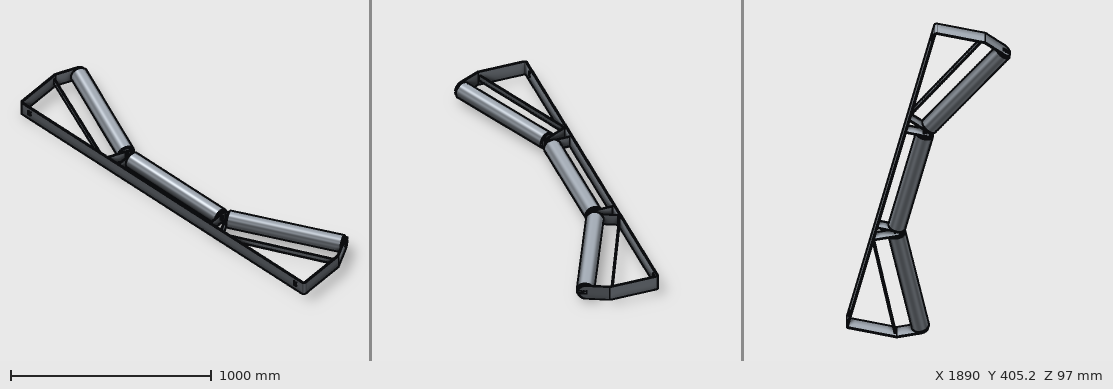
import cadquery as cq
import math

LENGTH = 1890.0
PLATE = 7.0
WIDTH = 80.0
CORNER_RADIUS = 13.0
TIP_DROP = 4.0

TROUGH_ANGLE = 25.0
ROLLER_RADIUS = 44.5
ROLLER_LENGTH = 601.0
ROLLER_CHAMFER = 5.0
SHAFT_SIDE = 16.0
CENTRE_Y = 104.0
CENTRE_Z = -8.0
WING_X = 610.0
WING_Y = 240.0
WALL_GAP = 4.0
BRACKET_GAP = 2.0

THIN_PLATE = 5.0

BRACKET_WIDTH = 60.0
BRACKET_TOP = 132.0

FIXING_X = 885.0
FIXING_WIDTH = 17.0
FIXING_HEIGHT = 25.0

BRACE_WIDTH = 34.0
BRACE_BASE_X = 395.0
BRACE_WALL_Y = 251.0

TILT = math.radians(TROUGH_ANGLE)
HALF_LENGTH = LENGTH / 2
HALF_ROLLER = ROLLER_LENGTH / 2
WALL_FACE = HALF_ROLLER + WALL_GAP
BRACKET_FACE = HALF_ROLLER + BRACKET_GAP


def wing_point(along, across):
    """Point given along and across the axis of the wing roller on the -X side."""
    x = -WING_X + along * math.cos(TILT) + across * math.sin(TILT)
    y = WING_Y - along * math.sin(TILT) + across * math.cos(TILT)
    return x, y


def place_wing(shape):
    """Move a shape made around a roller at the origin to the wing on the -X side."""
    return shape.rotate((0, 0, 0), (0, 0, 1), -TROUGH_ANGLE).translate((-WING_X, WING_Y, 0))


def both_sides(shape):
    return [shape, shape.mirror("YZ")]


def extrude_across(points, width):
    """Prism over an outline in the XY plane, centred on Z = 0."""
    return cq.Workplane("XY", origin=(0, 0, -width / 2)).polyline(points).close().extrude(width)


def make_roller(reach_left, reach_right):
    """Roller along X around the origin, with the reach of its shaft on each side."""
    shell = cq.Workplane("YZ", origin=(-HALF_ROLLER, 0, 0)).circle(ROLLER_RADIUS).extrude(ROLLER_LENGTH)
    shell = shell.faces("<X or >X").edges().chamfer(ROLLER_CHAMFER)
    shaft = cq.Workplane("XY").box(reach_left + reach_right, SHAFT_SIDE, SHAFT_SIDE)
    return shell.union(shaft.translate(((reach_right - reach_left) / 2, 0, 0)))


def make_wall_trim():
    """What is cut from the upper end of the -X wall: the corners of its tip and the shaft slot."""
    half = WIDTH / 2
    depth = 4 * PLATE
    corners = (
        cq.Workplane("YZ")
        .moveTo(0, half)
        .threePointArc((half, 0), (0, -half))
        .lineTo(WIDTH, -half)
        .lineTo(WIDTH, half)
        .close()
        .extrude(depth / 2, both=True)
        .translate((0, -TIP_DROP, 0))
    )
    slot = cq.Workplane("XY").box(depth, WIDTH, SHAFT_SIDE)
    slot = slot.translate((0, half - SHAFT_SIDE / 2, 0))
    return place_wing(corners.union(slot).translate((-WALL_FACE - PLATE / 2, 0, 0)))


def wall_outline(offset):
    """Corner, bend and tip of the -X wall, the given distance in from its outer faces."""
    x = -HALF_LENGTH + offset
    along = -WALL_FACE - PLATE + offset
    axis_x, axis_y = wing_point(along, 0)
    bend_y = axis_y - (axis_x - x) / math.tan(TILT)
    return [(x, offset), (x, bend_y), wing_point(along, WIDTH / 2 - TIP_DROP)]


def make_frame():
    """Base and both side walls, bent from one strip."""
    outer = wall_outline(0)
    inner = wall_outline(PLATE)
    half_outline = [(0, 0), *outer, *reversed(inner), (0, PLATE)]
    half = extrude_across(half_outline, WIDTH)
    half = half.edges(cq.selectors.NearestToPointSelector((*outer[0], 0))).fillet(CORNER_RADIUS)
    half = half.edges(cq.selectors.NearestToPointSelector((*inner[0], 0))).fillet(CORNER_RADIUS - PLATE)
    half = half.cut(make_wall_trim())
    fixing = cq.Workplane("XY").box(FIXING_WIDTH, 4 * PLATE, FIXING_HEIGHT)
    half = half.cut(fixing.translate((-FIXING_X, 0, 0)))
    return half.union(half.mirror("YZ"))


def make_bracket():
    """Bracket on the -X side; the shaft holes are cut later with the rollers."""
    upright = -BRACKET_FACE
    slope = math.tan(TILT)
    slant = THIN_PLATE / math.cos(TILT)
    axis_x, axis_y = wing_point(BRACKET_FACE, 0)

    def leaning_x(y):
        return axis_x + (y - axis_y) * slope

    inner_top = BRACKET_TOP - THIN_PLATE
    outline = [
        (upright, PLATE),
        (upright, BRACKET_TOP),
        (leaning_x(BRACKET_TOP), BRACKET_TOP),
        (leaning_x(PLATE), PLATE),
        (leaning_x(PLATE) + slant, PLATE),
        (leaning_x(inner_top) + slant, inner_top),
        (upright - THIN_PLATE, inner_top),
        (upright - THIN_PLATE, PLATE),
    ]
    return extrude_across(outline, BRACKET_WIDTH).translate((0, 0, CENTRE_Z))


def make_brace():
    """Brace on the -X side, cut flush against the wall and the base."""
    wall_x = -HALF_LENGTH + PLATE
    slope = (BRACE_WALL_Y - PLATE) / (-BRACE_BASE_X - wall_x)
    drop = THIN_PLATE * math.hypot(1, slope)
    outline = [
        (wall_x, BRACE_WALL_Y),
        (-BRACE_BASE_X, PLATE),
        (-BRACE_BASE_X - drop / slope, PLATE),
        (wall_x, BRACE_WALL_Y - drop),
    ]
    return extrude_across(outline, BRACE_WIDTH)


bracket_reach = BRACKET_FACE + THIN_PLATE
wall_reach = WALL_FACE + PLATE

frame = make_frame()
centre_roller = make_roller(bracket_reach, bracket_reach).translate((0, CENTRE_Y, CENTRE_Z))
wing_roller = place_wing(make_roller(wall_reach, bracket_reach))
bracket = make_bracket().cut(centre_roller).cut(wing_roller)

bodies = [frame, centre_roller]
for left_body in (wing_roller, bracket, make_brace()):
    bodies += both_sides(left_body)

result = cq.Compound.makeCompound([body.val() for body in bodies])